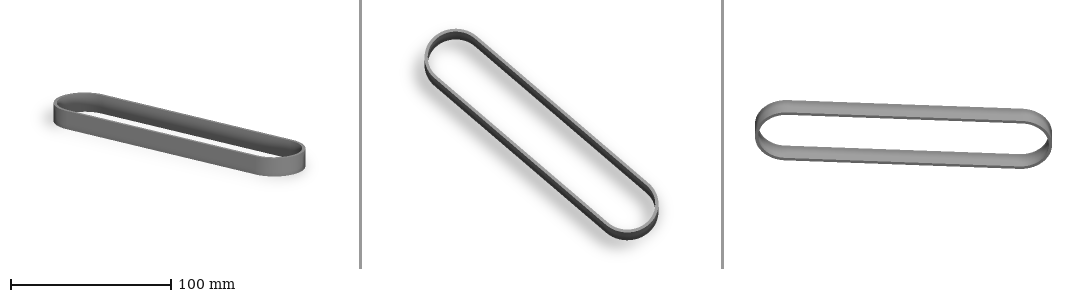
import cadquery as cq
import math

length_x = 182.2
length_y = 70.9
height = 12.0
end_radius = 19.5
wall = 2.0

spacing_x = length_x - 2 * end_radius
spacing_y = length_y - 2 * end_radius
center_spacing = math.hypot(spacing_x, spacing_y)
tilt = -math.degrees(math.atan2(spacing_y, spacing_x))


def rounded_bar(radius):
    """Solid bar with half-round ends of the given radius."""
    return (
        cq.Workplane("XY")
        .slot2D(center_spacing + 2 * radius, 2 * radius, tilt)
        .extrude(height)
    )


outer_bar = rounded_bar(end_radius)
inner_opening = rounded_bar(end_radius - wall)

result = outer_bar.cut(inner_opening)